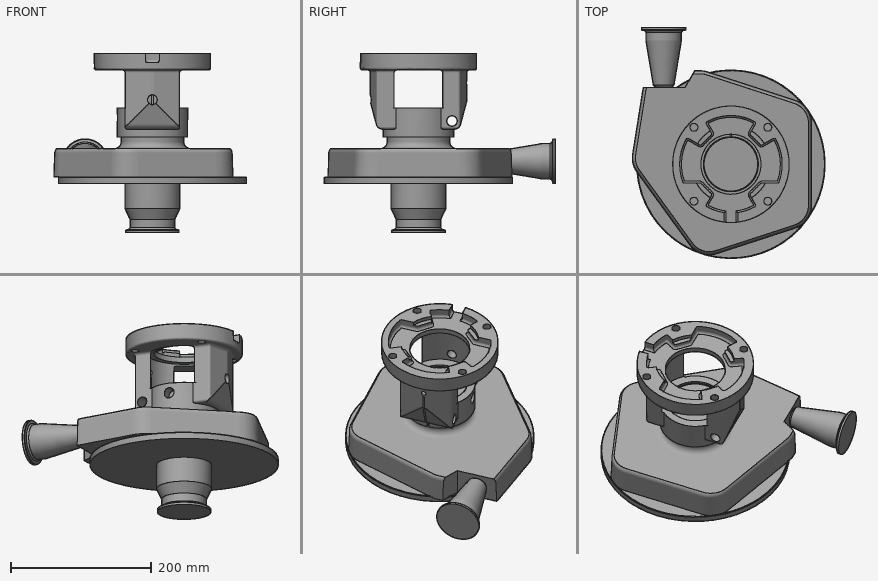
import cadquery as cq
import math


overall_length = 330.0

disc_radius = 134.5
disc_thickness = 9.5
disc_chamfer = 1.0
housing_top = 50.0
housing_draft = 2.0
housing_corner_radius = 34.0
housing_edge_fillet = 8.2
housing_top_trim = 1.5
wall_distance = 115.2
volute_wall_distance = 141.0
volute_wall_angle = 171
outlet_wall_y = 133.5
outlet_face_y = 110.0
notch_foot_x = -65.5
notch_angle = 60

neck_radius = 45.0
neck_fillet = 9.5
hub_radius = 50.5
hub_bottom = 66.3
hub_top = 108.2
hub_recess_radius = 39.3
hub_recess_depth = 4.0
hub_recess_chamfer = 1.0
hub_hole_radius = 7.5
hub_hole_z = 94.0
hub_hole_depth = 16.5

flange_radius = 83.0
flange_top = 186.0
flange_bottom = 162.5
flange_edge_fillet = 3.0
flange_bore_radius = 43.0
pocket_radius = 69.5
pocket_side_radius = 73.3
pocket_depth = 13.2
pocket_fillet = 4.3
pocket_floor_trim = 0.3
pocket_corner_radius = 2.5
key_slot_width = 19.8
pad_distance = 49.5
pad_half_width = 11.5
pad_flare = 15
pad_wide_flare = 45
pad_step_radius = 56.0
pad_step_depth = 5.5
bolt_circle_radius = 74.5
bolt_hole_radius = 5.5

leg_half_width = 39.0
leg_bottom = 77.5
leg_ridge_y = 69.0
leg_ridge_half_width = 2.3
leg_slope = 15
leg_taper_top = 117.0
leg_edge_fillet = 3.3
leg_bottom_fillet = 10.0
leg_flange_fillet = 4.3
leg_inner_radius = 52.0
cavity_top = 165.0

front_hole_radius = 7.0
front_hole_z = 119.8
clamp_hole_radius = 7.3
clamp_hole_y = 48.0
clamp_hole_z = 89.5
slit_width = 2.3
slit_top = 137.0
vent_hole_radius = 3.3
vent_hole_z = 144.0

ferrule_rim_thickness = 3.3
ferrule_hub_height = 4.0
ferrule_hub_flare = 2.0
ferrule_bevel = 0.5
inlet_radius = 39.3
inlet_neck_radius = 32.0
inlet_rim_radius = 38.3
inlet_taper_top = -35.5
inlet_taper_bottom = -51.0
inlet_end = -70.0
outlet_x = -96.0
outlet_z = 32.0
outlet_neck_radius = 25.5
outlet_rim_radius = 32.0
outlet_taper_end_y = 176.2
outlet_root_radius = 15.0
outlet_tip_radius = 12.0
outlet_root_y = 113.0
outlet_end_y = overall_length - disc_radius


def cylinder(radius, bottom, top):
    return cq.Workplane("XY").workplane(offset=bottom).circle(radius).extrude(top - bottom)


def wall_crossing(wall_a, wall_b):
    """Corner where two walls meet; a wall is (angle of its normal, distance from the axis)."""
    angle_a, distance_a = math.radians(wall_a[0]), wall_a[1]
    angle_b, distance_b = math.radians(wall_b[0]), wall_b[1]
    det = math.sin(angle_b - angle_a)
    x = (distance_a * math.sin(angle_b) - distance_b * math.sin(angle_a)) / det
    y = (distance_b * math.cos(angle_a) - distance_a * math.cos(angle_b)) / det
    return (x, y)


def ferrule_profile(neck, rim, end):
    """Profile points of a clamp ferrule from its neck to its end face, the end being below the neck."""
    rim_top = end + ferrule_rim_thickness
    return [
        (neck, rim_top + ferrule_hub_height),
        (neck + ferrule_hub_flare, rim_top + 2 * ferrule_bevel),
        (rim - ferrule_bevel, rim_top + ferrule_bevel),
        (rim, rim_top),
        (rim, end),
        (0, end),
    ]


def make_housing():
    walls = [
        (0, wall_distance),
        (72, wall_distance),
        (90, outlet_wall_y),
        (volute_wall_angle, volute_wall_distance),
        (216, wall_distance),
        (288, wall_distance),
    ]
    corners = [wall_crossing(walls[i - 1], walls[i]) for i in range(len(walls))]
    height = housing_top + housing_top_trim - disc_thickness
    outline = cq.Sketch().polygon(corners + corners[:1]).vertices().fillet(housing_corner_radius)
    body = (
        cq.Workplane("XY").workplane(offset=disc_thickness)
        .placeSketch(outline).extrude(height, taper=housing_draft)
        .faces(">Z").edges().fillet(housing_edge_fillet)
    )
    reach = 2 * disc_radius
    notch = (
        cq.Workplane("XY").workplane(offset=disc_thickness)
        .moveTo(notch_foot_x, outlet_face_y)
        .lineTo(notch_foot_x + reach / math.tan(math.radians(notch_angle)), outlet_face_y + reach)
        .lineTo(-reach, outlet_face_y + reach)
        .lineTo(-reach, outlet_face_y)
        .close().extrude(height)
    )
    top_trim = cylinder(2 * disc_radius, housing_top, housing_top + housing_top_trim)
    return body.cut(notch).cut(top_trim)


def make_disc():
    return cylinder(disc_radius, 0, disc_thickness).faces(">Z").edges().chamfer(disc_chamfer)


def make_hub():
    fillet_top = housing_top + neck_fillet
    bend = neck_fillet * (1 - math.sqrt(0.5))
    profile = (
        cq.Workplane("XZ")
        .moveTo(0, housing_top)
        .lineTo(neck_radius + neck_fillet, housing_top)
        .threePointArc((neck_radius + bend, housing_top + bend), (neck_radius, fillet_top))
        .lineTo(neck_radius, hub_bottom)
        .lineTo(hub_radius, hub_bottom)
        .lineTo(hub_radius, hub_top)
        .lineTo(0, hub_top)
        .close()
    )
    return profile.revolve(360, (0, 0, 0), (0, 1, 0))


def make_inlet():
    points = [
        (0, 0),
        (inlet_radius, 0),
        (inlet_radius, inlet_taper_top),
        (inlet_neck_radius, inlet_taper_bottom),
    ]
    points += ferrule_profile(inlet_neck_radius, inlet_rim_radius, inlet_end)
    return cq.Workplane("XZ").polyline(points).close().revolve(360, (0, 0, 0), (0, 1, 0))


def make_outlet():
    points = [
        (0, -outlet_face_y),
        (outlet_tip_radius, -outlet_face_y),
        (outlet_root_radius, -outlet_root_y),
        (outlet_neck_radius, -outlet_taper_end_y),
    ]
    points += ferrule_profile(outlet_neck_radius, outlet_rim_radius, -outlet_end_y)
    pipe = cq.Workplane("XZ").polyline(points).close().revolve(360, (0, 0, 0), (0, 1, 0))
    return pipe.rotate((0, 0, 0), (1, 0, 0), 90).translate((outlet_x, 0, outlet_z))


def edges_in_box(half_width, y_min, y_max, z_min, z_max):
    """Selector for edges lying wholly inside a box centred on the YZ plane."""
    margin = 0.3
    return cq.selectors.BoxSelector(
        (-half_width - margin, y_min - margin, z_min - margin),
        (half_width + margin, y_max + margin, z_max + margin),
        boundingbox=True,
    )


def make_leg():
    """The leg on the +Y side, solid down to the shaft axis plane."""
    slope = math.tan(math.radians(leg_slope))
    shoulder_y = leg_ridge_y - slope * (leg_half_width - leg_ridge_half_width)
    leg = (
        cq.Workplane("XY").workplane(offset=leg_bottom)
        .moveTo(-leg_half_width, 0)
        .lineTo(-leg_half_width, shoulder_y)
        .lineTo(-leg_ridge_half_width, leg_ridge_y)
        .lineTo(leg_ridge_half_width, leg_ridge_y)
        .lineTo(leg_half_width, shoulder_y)
        .lineTo(leg_half_width, 0)
        .close().extrude(flange_bottom - leg_bottom)
    )
    side_edges = edges_in_box(leg_half_width, shoulder_y, shoulder_y, leg_bottom, flange_bottom)
    leg = leg.edges(side_edges).fillet(leg_edge_fillet)
    front_profile = (
        cq.Workplane("XY").workplane(offset=leg_bottom)
        .rect(2 * leg_half_width, 2 * leg_ridge_y).extrude(flange_bottom - leg_bottom)
        .faces("<Z").edges("|Y").fillet(leg_edge_fillet)
    )
    side_profile = (
        cq.Workplane("YZ").workplane(offset=-leg_half_width)
        .moveTo(0, leg_bottom)
        .lineTo(leg_ridge_y - slope * (leg_taper_top - leg_bottom), leg_bottom)
        .lineTo(leg_ridge_y, leg_taper_top)
        .lineTo(leg_ridge_y, flange_bottom)
        .lineTo(0, flange_bottom)
        .close().extrude(2 * leg_half_width)
        .faces("<Z").edges(">Y").fillet(leg_bottom_fillet)
    )
    return leg.intersect(front_profile).intersect(side_profile)


def make_pocket():
    height = pocket_depth + pocket_floor_trim
    floor_plane = cq.Workplane("XY").workplane(offset=flange_top - height)
    pocket = floor_plane.circle(pocket_radius).extrude(height)
    reach = 2 * flange_radius
    side_lobes = (
        floor_plane.polyline([(0, 0), (reach, reach), (reach, -reach)]).close()
        .polyline([(0, 0), (-reach, reach), (-reach, -reach)]).close()
        .extrude(height)
        .intersect(floor_plane.circle(pocket_side_radius).extrude(height))
    )
    pocket = pocket.union(side_lobes)
    flares = {
        45: (pad_flare, pad_flare),
        135: (pad_flare, pad_flare),
        225: (pad_wide_flare, pad_flare),
        315: (pad_flare, pad_wide_flare),
    }
    length = flange_radius - pad_distance
    for angle, (left_flare, right_flare) in flares.items():
        left = pad_half_width + length * math.tan(math.radians(left_flare))
        right = pad_half_width + length * math.tan(math.radians(right_flare))
        pad = (
            floor_plane.polyline([
                (pad_distance, -pad_half_width),
                (flange_radius, -left),
                (flange_radius, right),
                (pad_distance, pad_half_width),
            ]).close().extrude(height)
            .rotate((0, 0, 0), (0, 0, 1), angle)
        )
        pocket = pocket.cut(pad)
    pocket = pocket.edges("|Z").fillet(pocket_corner_radius)
    slot = (
        floor_plane.moveTo(0, -flange_radius)
        .rect(key_slot_width, 2 * (flange_radius - pad_distance)).extrude(height)
    )
    pocket = pocket.union(slot)
    pocket = pocket.faces("<Z").edges().fillet(pocket_fillet)
    pocket = pocket.cut(cylinder(2 * flange_radius, flange_top - height, flange_top - pocket_depth))
    step = cylinder(pad_step_radius, flange_top - pad_step_depth, flange_top)
    return pocket.union(step)


def make_frame():
    flange = cylinder(flange_radius, flange_bottom, flange_top)
    flange = flange.faces("<Z").edges().fillet(flange_edge_fillet)
    leg = make_leg()
    body = flange.union(leg).union(leg.mirror("XZ"))
    root_edges = edges_in_box(leg_half_width, -leg_ridge_y, leg_ridge_y, flange_bottom, flange_bottom)
    body = body.edges(root_edges).fillet(leg_flange_fillet)
    body = body.cut(cylinder(leg_inner_radius, hub_top, cavity_top))
    body = body.cut(cylinder(flange_bore_radius, cavity_top, flange_top))
    bolt_holes = (
        cq.Workplane("XY").workplane(offset=flange_bottom)
        .polarArray(bolt_circle_radius, 45, 360, 4)
        .circle(bolt_hole_radius).extrude(flange_top - flange_bottom)
    )
    return body.cut(bolt_holes).cut(make_pocket())


def make_hub_cuts():
    recess = cylinder(hub_recess_radius, hub_top - hub_recess_depth, hub_top)
    recess = recess.faces("<Z").edges().chamfer(hub_recess_chamfer)
    side_hole = (
        cq.Workplane("YZ").workplane(offset=-hub_radius)
        .center(0, hub_hole_z).circle(hub_hole_radius).extrude(hub_hole_depth)
    )
    return recess.union(side_hole)


def make_leg_cuts():
    front_hole = (
        cq.Workplane("XZ").center(0, front_hole_z)
        .circle(front_hole_radius).extrude(leg_ridge_y)
    )
    slit = (
        cq.Workplane("XY").workplane(offset=hub_bottom)
        .moveTo(0, (hub_recess_radius + leg_ridge_y) / 2)
        .rect(slit_width, leg_ridge_y - hub_recess_radius).extrude(slit_top - hub_bottom)
    )
    vent_hole = (
        cq.Workplane("XZ").center(0, vent_hole_z)
        .circle(vent_hole_radius).extrude(-leg_ridge_y)
    )
    clamp_hole = (
        cq.Workplane("YZ").center(clamp_hole_y, clamp_hole_z)
        .circle(clamp_hole_radius).extrude(leg_half_width, both=True)
    )
    return front_hole.union(slit).union(vent_hole).union(clamp_hole)


result = (
    make_disc()
    .union(make_housing())
    .union(make_hub())
    .union(make_inlet())
    .union(make_outlet())
    .union(make_frame())
    .cut(make_hub_cuts())
    .cut(make_leg_cuts())
)